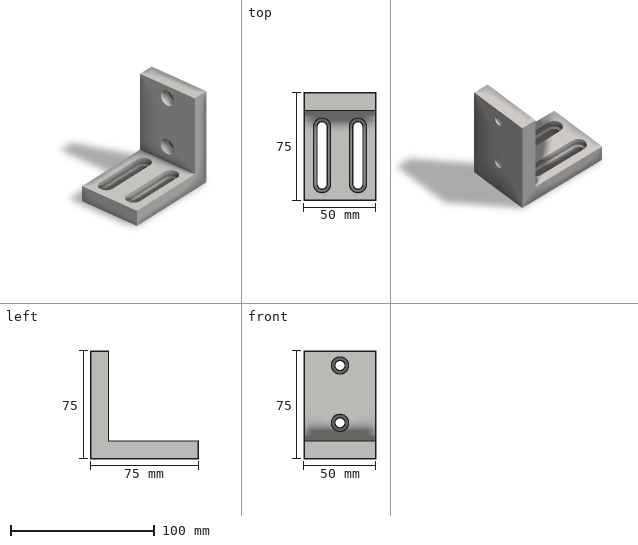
import cadquery as cq

width = 50.0
length = 75.0
height = 75.0
thickness = 12.5

through_diameter = 7.0
recess_diameter = 12.0
bolt_recess_depth = 8.0
slot_recess_depth = 5.0

bolt_spacing = 40.0
top_bolt_drop = 10.0

slot_spacing = width / 2
slot_travel = 40.0

upright_face_y = length / 2 - thickness
slot_center_y = (upright_face_y - length / 2) / 2
top_bolt_z = height - top_bolt_drop


def make_bracket():
    """L-shaped profile in the YZ plane, extruded across the width."""
    front_y = -length / 2
    back_y = length / 2
    profile = [
        (front_y, 0),
        (back_y, 0),
        (back_y, height),
        (upright_face_y, height),
        (upright_face_y, thickness),
        (front_y, thickness),
    ]
    return cq.Workplane("YZ").polyline(profile).close().extrude(width / 2, both=True)


def cut_bolt_holes(body):
    """Counterbored holes through the upright, recessed on its -Y face."""
    return (
        body.copyWorkplane(cq.Workplane("XZ", origin=(0, upright_face_y, 0)))
        .pushPoints([(0, top_bolt_z), (0, top_bolt_z - bolt_spacing)])
        .cboreHole(through_diameter, recess_diameter, bolt_recess_depth, thickness)
    )


def slot_cutter(diameter, depth):
    """Pair of slots along Y, cut down from the top of the base."""
    return (
        cq.Workplane("XY", origin=(0, slot_center_y, thickness))
        .pushPoints([(-slot_spacing / 2, 0), (slot_spacing / 2, 0)])
        .slot2D(slot_travel + diameter, diameter, 90)
        .extrude(-depth)
    )


result = cut_bolt_holes(make_bracket())
result = result.cut(slot_cutter(through_diameter, thickness))
result = result.cut(slot_cutter(recess_diameter, slot_recess_depth))